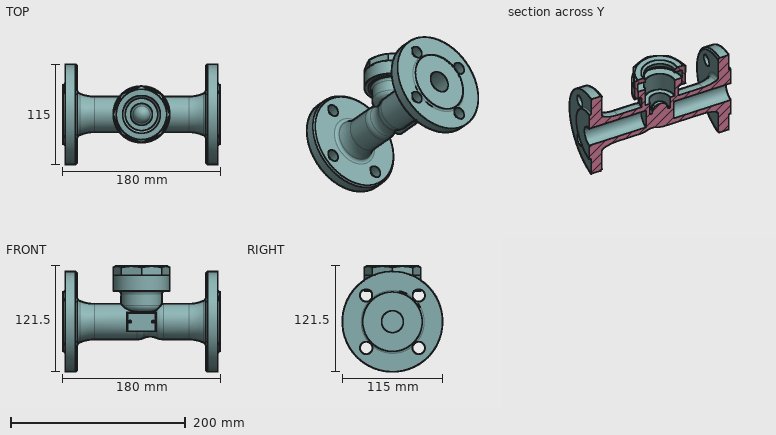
import cadquery as cq
import math

LENGTH = 180.0
TOTAL_HEIGHT = 121.5
HALF_LENGTH = LENGTH / 2

FLANGE_DIA = 115.0
FLANGE_THICKNESS = 13.9
FLANGE_CHAMFER = 2.0
FACE_DIA = 68.0
FACE_HEIGHT = 2.5
FACE_FILLET = 2.0
BOLT_CIRCLE_DIA = 85.0
BOLT_HOLE_DIA = 14.0
BOLT_COUNT = 4
PIPE_DIA = 41.0
HUB_START = 54.0
HUB_LENGTH = 16.7
HUB_RISE = 3.5
HUB_FILLET = 5.0
PORT_DIA = 25.0
PORT_DEPTH = 72.0

WAIST_X = 9.9
WAIST_HALF_LENGTH = 15.1
WAIST_DEPTH = 3.2

NECK_DIA = 47.0
NECK_BOTTOM_Z = 11.5
NECK_BOTTOM_FILLET = 7.2
FLARE_DIA = 51.0
FLARE_Z = 31.7
THREAD_DIA = 56.0
COLLAR_TOP_Z = 45.7
BORE_DIA = 37.0
CHAMBER_FLOOR_Z = 21.6
WELL_DIA = 25.0
WELL_FLOOR_Z = 5.4
DOME_DIA = 20.0
DOME_ROOT_DIA = 23.0

PLATE_WIDTH = 33.8
PLATE_HEIGHT = 21.6
PLATE_FACE_Y = -23.0
PLATE_CHAMFER = 1.0
RIVET_DIA = 2.7
RIVET_HEIGHT = 0.7
RIVET_SPACING = 26.5

NUT_DIA = 65.0
NUT_SIDES = 8
NUT_BOTTOM_Z = 35.0
NUT_TOP_Z = TOTAL_HEIGHT - FLANGE_DIA / 2
HEAD_BOTTOM_Z = 53.0
HEAD_TOP_DIA = 57.6
HEAD_CHAMFER_ANGLE = 30.0
NUT_EDGE_CHAMFER = 0.5
MOUTH_DIA = 43.2
NUT_CEILING_Z = 56.7


def cylinder(diameter, bottom_z, top_z):
    """Upright cylinder on the Z axis."""
    return cq.Workplane("XY").workplane(offset=bottom_z).circle(diameter / 2).extrude(top_z - bottom_z)


def flanged_end():
    """Solid +X end: half of the plain pipe, the flared hub, the flange and the raised face."""
    pipe_r = PIPE_DIA / 2
    flange_r = FLANGE_DIA / 2
    face_r = FACE_DIA / 2
    flange_outer_x = HALF_LENGTH - FACE_HEIGHT
    flange_inner_x = flange_outer_x - FLANGE_THICKNESS

    hub_slope = 2 * math.atan(HUB_RISE / HUB_LENGTH)
    hub_end_x = HUB_START + HUB_LENGTH
    hub_end_r = pipe_r + HUB_RISE
    fillet_end_r = hub_end_r + HUB_FILLET * math.cos(hub_slope)

    return (
        cq.Workplane("XY")
        .moveTo(0, 0)
        .lineTo(0, pipe_r)
        .lineTo(HUB_START, pipe_r)
        .tangentArcPoint((hub_end_x, hub_end_r), relative=False)
        .tangentArcPoint((flange_inner_x, fillet_end_r), relative=False)
        .lineTo(flange_inner_x, flange_r - FLANGE_CHAMFER)
        .lineTo(flange_inner_x + FLANGE_CHAMFER, flange_r)
        .lineTo(flange_outer_x, flange_r)
        .lineTo(flange_outer_x, face_r + FACE_FILLET)
        .radiusArc((flange_outer_x + FACE_FILLET, face_r), -FACE_FILLET)
        .lineTo(HALF_LENGTH, face_r)
        .lineTo(HALF_LENGTH, 0)
        .close()
        .revolve(360, (0, 0, 0), (1, 0, 0))
    )


def waist_ring():
    """Ring of material taken off the pipe to form the waist."""
    pipe_r = PIPE_DIA / 2
    quarter = WAIST_HALF_LENGTH / 2
    half_depth = WAIST_DEPTH / 2
    arc_r = (quarter**2 + half_depth**2) / (2 * half_depth)
    start_x = WAIST_X - WAIST_HALF_LENGTH
    end_x = WAIST_X + WAIST_HALF_LENGTH
    middle_r = pipe_r - half_depth
    outside_r = pipe_r + WAIST_DEPTH
    return (
        cq.Workplane("XY")
        .moveTo(start_x, pipe_r)
        .radiusArc((start_x + quarter, middle_r), arc_r)
        .radiusArc((end_x - quarter, middle_r), -arc_r)
        .radiusArc((end_x, pipe_r), arc_r)
        .lineTo(end_x, outside_r)
        .lineTo(start_x, outside_r)
        .close()
        .revolve(360, (0, 0, 0), (1, 0, 0))
    )


def neck():
    """Upright neck with a rounded bottom, a hollow flare and the threaded collar."""
    neck_r = NECK_DIA / 2
    flare_r = FLARE_DIA / 2
    collar_r = THREAD_DIA / 2
    return (
        cq.Workplane("XZ")
        .moveTo(0, NECK_BOTTOM_Z)
        .lineTo(neck_r - NECK_BOTTOM_FILLET, NECK_BOTTOM_Z)
        .tangentArcPoint((neck_r, NECK_BOTTOM_Z + NECK_BOTTOM_FILLET), relative=False)
        .lineTo(neck_r, FLARE_Z)
        .tangentArcPoint((flare_r, NUT_BOTTOM_Z), relative=False)
        .lineTo(collar_r, NUT_BOTTOM_Z)
        .lineTo(collar_r, COLLAR_TOP_Z)
        .lineTo(0, COLLAR_TOP_Z)
        .close()
        .revolve(360, (0, 0, 0), (0, 1, 0))
    )


def dome():
    """Hemispherical dome on the well floor, blended into the floor by a root fillet."""
    dome_r = DOME_DIA / 2
    root_r = DOME_ROOT_DIA / 2
    base_z = WELL_FLOOR_Z + root_r - dome_r
    return (
        cq.Workplane("XZ")
        .moveTo(0, WELL_FLOOR_Z)
        .lineTo(root_r, WELL_FLOOR_Z)
        .radiusArc((dome_r, base_z), root_r - dome_r)
        .tangentArcPoint((0, base_z + dome_r), relative=False)
        .close()
        .revolve(360, (0, 0, 0), (0, 1, 0))
    )


def chamber():
    """Space inside the neck: the wide bore and, below it, a narrower well with a domed floor."""
    bore = cylinder(BORE_DIA, CHAMBER_FLOOR_Z, COLLAR_TOP_Z)
    well = cylinder(WELL_DIA, WELL_FLOOR_Z, CHAMBER_FLOOR_Z)
    return bore.union(well).cut(dome())


def name_plate():
    """Block standing out of the pipe with a chamfered face and two rounded rivet heads."""
    block = cq.Workplane("XZ").rect(PLATE_WIDTH, PLATE_HEIGHT).extrude(-PLATE_FACE_Y)
    plate = block.faces("<Y").edges("|Z or >Z").chamfer(PLATE_CHAMFER)
    head_sphere_r = ((RIVET_DIA / 2) ** 2 + RIVET_HEIGHT**2) / (2 * RIVET_HEIGHT)
    head_center_y = PLATE_FACE_Y - RIVET_HEIGHT + head_sphere_r
    for side in (-1, 1):
        head = cq.Workplane("XY").sphere(head_sphere_r)
        plate = plate.union(head.translate((side * RIVET_SPACING / 2, head_center_y, 0)))
    return plate


def bolt_holes():
    """Bolt holes through both flanges, straddling the vertical and horizontal centrelines."""
    return (
        cq.Workplane("YZ")
        .workplane(offset=-HALF_LENGTH)
        .polarArray(BOLT_CIRCLE_DIA / 2, 180 / BOLT_COUNT, 360, BOLT_COUNT)
        .circle(BOLT_HOLE_DIA / 2)
        .extrude(LENGTH)
    )


def port():
    """Blind passage bored in from the +X flange."""
    return (
        cq.Workplane("YZ")
        .workplane(offset=HALF_LENGTH - PORT_DEPTH)
        .circle(PORT_DIA / 2)
        .extrude(PORT_DEPTH)
    )


def make_body():
    """Flanged connector body with its neck and name plate."""
    end = flanged_end().cut(bolt_holes())
    pipe = end.union(end.mirror("YZ")).cut(waist_ring())
    body = pipe.union(name_plate()).union(neck()).cut(chamber())
    return body.cut(port()).cut(port().mirror("YZ"))


def make_nut():
    """Union nut: octagonal head over a round skirt, with a lipped mouth and a threaded cavity."""
    skirt = (
        cylinder(NUT_DIA, NUT_BOTTOM_Z, HEAD_BOTTOM_Z)
        .faces("<Z")
        .chamfer(NUT_EDGE_CHAMFER)
    )
    head_cone_drop = (NUT_DIA - HEAD_TOP_DIA) / 2 * math.tan(math.radians(HEAD_CHAMFER_ANGLE))
    head_envelope = (
        cq.Workplane("XZ")
        .moveTo(0, HEAD_BOTTOM_Z)
        .lineTo(NUT_DIA / 2, HEAD_BOTTOM_Z)
        .lineTo(NUT_DIA / 2, NUT_TOP_Z - head_cone_drop)
        .lineTo(HEAD_TOP_DIA / 2, NUT_TOP_Z)
        .lineTo(0, NUT_TOP_Z)
        .close()
        .revolve(360, (0, 0, 0), (0, 1, 0))
    )
    head = (
        cq.Workplane("XY")
        .workplane(offset=HEAD_BOTTOM_Z)
        .polygon(NUT_SIDES, NUT_DIA)
        .extrude(NUT_TOP_Z - HEAD_BOTTOM_Z)
        .intersect(head_envelope)
    )
    mouth_chamfer = (MOUTH_DIA - BORE_DIA) / 2
    mouth = (
        cq.Workplane("XZ")
        .moveTo(0, NUT_CEILING_Z)
        .lineTo(BORE_DIA / 2, NUT_CEILING_Z)
        .lineTo(BORE_DIA / 2, NUT_TOP_Z - mouth_chamfer)
        .lineTo(MOUTH_DIA / 2, NUT_TOP_Z)
        .lineTo(0, NUT_TOP_Z)
        .close()
        .revolve(360, (0, 0, 0), (0, 1, 0))
    )
    cavity = cylinder(THREAD_DIA, NUT_BOTTOM_Z, NUT_CEILING_Z)
    return skirt.union(head).cut(mouth).cut(cavity)


body = make_body()
nut = make_nut()
result = cq.Compound.makeCompound([*body.solids().vals(), *nut.solids().vals()])